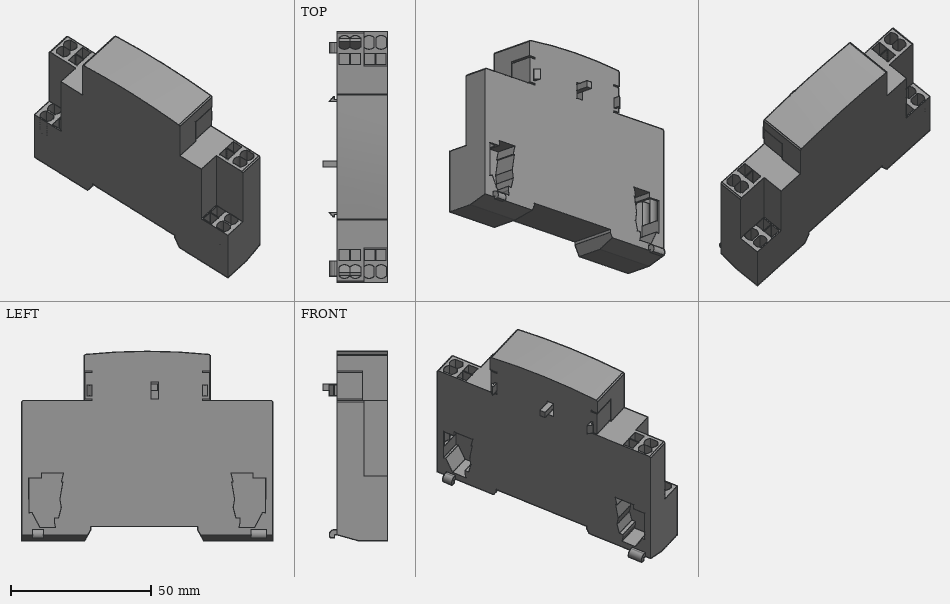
import cadquery as cq
import math


width = 18.0
length = 89.4
half_length = length / 2
shoulder_z = 50.0
dome_half = 22.5
dome_top = 67.52
dome_end_z = 66.4
edge_chamfer = 0.5

rail_roof_z = 5.0
rail_flank_z = 3.9
rail_left_y = 20.1
rail_right_y = -17.9
rail_flare = 2.2
bevel_width = 7.5
bevel_height = 2.1

step_x = 9.7
step_inner_y = 32.45
step_z = 23.1

upper_wire_x = (2.65, 6.53)
upper_wire_width = 3.86
lower_wire_x = (11.43, 15.72)
lower_wire_width = 3.65
wire_y = 40.8
wire_radius = 2.45
wire_bottom_z = 14.9
upper_tool_x = (2.55, 6.6)
lower_tool_x = (11.65, 15.65)
tool_y = 34.85
tool_width = 3.7
tool_length = 3.85
tool_depth = 8.0

chamber_depth = 8.46

clip_width = 9.05
clip_inset = 0.25
clip_gap = 0.55
clip_slot_length = 2.75
clip_slot_height = 10.5
barb_reach = 2.8
barb_shoulder = 0.97
barb_tip = 1.3
barb_stem = 0.8
barb_rise = 1.7
barb_bottom_z = 51.6
barb_height = 3.8

pin_y = -2.5
pin_length = 5.0
pin_width = 2.25
pin_height = 2.4
pin_bottom_z = 53.5
pin_slot_far_y = -3.93
pin_slot_bottom_z = 50.5
pin_slot_top_z = 56.5
pin_slot_depth = 3.0

hook_radius = 1.9
hook_neck = 0.85
hook_tip_z = 1.0
hook_spans = ((37.0, 40.8), (-42.5, -37.0))


def block(x0, x1, y0, y1, z0, z1):
    """Box between two opposite corners, given as coordinate pairs."""
    return cq.Workplane("XY").box(x1 - x0, y1 - y0, z1 - z0, centered=False).translate((x0, y0, z0))


def both_ends(feature):
    """The feature and its mirror image at the other end of the length."""
    return feature.union(feature.mirror("XZ"))


def housing():
    profile = (
        cq.Workplane("YZ")
        .moveTo(-half_length, 0)
        .lineTo(rail_right_y - rail_flare, 0)
        .lineTo(rail_right_y, rail_flank_z)
        .lineTo(rail_right_y, rail_roof_z)
        .lineTo(rail_left_y, rail_roof_z)
        .lineTo(rail_left_y, rail_flank_z)
        .lineTo(rail_left_y + rail_flare, 0)
        .lineTo(half_length, 0)
        .lineTo(half_length, shoulder_z - edge_chamfer)
        .lineTo(half_length - edge_chamfer, shoulder_z)
        .lineTo(dome_half, shoulder_z)
        .lineTo(dome_half, dome_end_z - edge_chamfer)
        .lineTo(dome_half - edge_chamfer, dome_end_z)
        .threePointArc((0, dome_top), (edge_chamfer - dome_half, dome_end_z))
        .lineTo(-dome_half, dome_end_z - edge_chamfer)
        .lineTo(-dome_half, shoulder_z)
        .lineTo(edge_chamfer - half_length, shoulder_z)
        .lineTo(-half_length, shoulder_z - edge_chamfer)
        .close()
    )
    bevel = (
        cq.Workplane("XZ")
        .polyline([(0, 0), (bevel_width, 0), (0, bevel_height)])
        .close()
        .extrude(half_length, both=True)
    )
    return profile.extrude(width).cut(bevel)


def terminal_steps():
    return both_ends(block(step_x, width, step_inner_y, half_length, step_z, shoulder_z))


def wire_opening(x, opening_width, top_z):
    """Round opening with its two X sides flattened."""
    height = top_z - wire_bottom_z
    bore = cq.Workplane("XY").circle(wire_radius).extrude(height)
    sides = cq.Workplane("XY").rect(opening_width, 2 * wire_radius).extrude(height)
    return bore.intersect(sides).translate((x, wire_y, wire_bottom_z))


def tool_opening(x, top_z):
    opening = cq.Workplane("XY").rect(tool_width, tool_length).extrude(tool_depth)
    return opening.translate((x, tool_y, top_z - tool_depth))


def terminal_openings():
    openings = cq.Workplane("XY")
    for x in upper_wire_x:
        openings = openings.add(wire_opening(x, upper_wire_width, shoulder_z))
    for x in lower_wire_x:
        openings = openings.add(wire_opening(x, lower_wire_width, step_z))
    for x in upper_tool_x:
        openings = openings.add(tool_opening(x, shoulder_z))
    for x in lower_tool_x:
        openings = openings.add(tool_opening(x, step_z))
    return both_ends(openings.combine())


def release_chambers():
    outline = [
        (29.8, 24.2),
        (30.6, 20.9),
        (30.05, 20.9),
        (31.1, 14.9),
        (30.6, 11.8),
        (31.6, 8.05),
        (33.05, 8.05),
        (33.05, 6.5),
        (32.7, 4.8),
        (38.25, 4.8),
        (41.1, 10.15),
        (42.15, 9.9),
        (42.15, 22.3),
        (37.6, 22.3),
        (37.6, 24.2),
    ]
    return both_ends(cq.Workplane("YZ").polyline(outline).close().extrude(chamber_depth))


clip_inner_y = dome_half - clip_slot_length


def clip_slots():
    slot_top_z = shoulder_z + clip_slot_height
    return both_ends(block(0, clip_width, clip_inner_y, dome_half, shoulder_z, slot_top_z))


def latch_clips():
    """Plate inside each clip slot, with a barb reaching out past the joint face."""
    plate = block(
        0,
        clip_width,
        clip_inner_y,
        dome_half - clip_inset,
        shoulder_z + clip_gap,
        shoulder_z + clip_slot_height - clip_gap,
    )
    barb_outline = [
        (0, clip_inner_y),
        (-barb_reach, clip_inner_y),
        (-barb_tip, clip_inner_y + barb_rise),
        (-barb_shoulder, clip_inner_y + barb_rise),
        (-barb_shoulder, clip_inner_y + barb_stem),
        (0, clip_inner_y + barb_stem),
    ]
    barb = (
        cq.Workplane("XY", origin=(0, 0, barb_bottom_z))
        .polyline(barb_outline)
        .close()
        .extrude(barb_height)
    )
    return both_ends(plate.union(barb))


pin_near_y = pin_y + pin_width / 2


def pin_slot():
    return block(0, pin_slot_depth, pin_slot_far_y, pin_near_y, pin_slot_bottom_z, pin_slot_top_z)


def coupling_pin():
    """Pin anchored in the end wall of its slot."""
    return block(
        -pin_length,
        pin_slot_depth,
        pin_near_y - pin_width,
        pin_near_y,
        pin_bottom_z,
        pin_bottom_z + pin_height,
    )


def edge_hooks():
    tip_drop = bevel_height - hook_tip_z
    tip_x = -hook_neck - math.sqrt(hook_radius**2 - tip_drop**2)
    hooks = cq.Workplane("XY")
    for y_start, y_end in hook_spans:
        hook = (
            cq.Workplane("XZ", origin=(0, y_end, 0))
            .moveTo(0, bevel_height)
            .lineTo(0, bevel_height + hook_radius)
            .lineTo(-hook_neck, bevel_height + hook_radius)
            .threePointArc((-hook_neck - hook_radius, bevel_height), (tip_x, hook_tip_z))
            .lineTo(-hook_neck, hook_tip_z)
            .lineTo(-hook_neck, bevel_height)
            .close()
            .extrude(y_end - y_start)
        )
        hooks = hooks.add(hook)
    return hooks.combine()


result = (
    housing()
    .cut(terminal_steps())
    .cut(terminal_openings())
    .cut(release_chambers())
    .cut(clip_slots())
    .union(latch_clips())
    .cut(pin_slot())
    .union(coupling_pin())
    .union(edge_hooks())
)